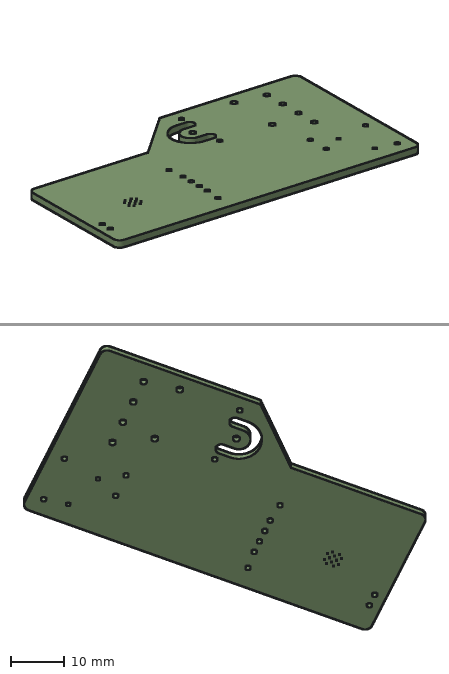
import cadquery as cq

WIDTH = 39.1
LENGTH = 71.1
THICKNESS = 1.6
CORNER_RADIUS = 1.4
NOTCH_WIDTH = 10.9
NOTCH_STRAIGHT = 28.0

MOUNT_HOLE = 1.3
TERMINAL_HOLE = 1.2
PIN_HOLE = 1.0
SMALL_HOLE = 0.8
VIA_HOLE = 0.2

SLOT_X = 8.9
SLOT_ARC_Y = 39.55
SLOT_END_Y = 41.75
SLOT_OUTER_RADIUS = 4.35
SLOT_WIDTH = 2.1
SENSOR_HOLE_Y = 40.05

TERMINAL_PITCH = 5.0
TERMINAL_COUNT = 4
TERMINAL_START = (3.9, 61.15)
LEFT_PAIR_SPACING = 12.0
MOUNT_START = (2.9, 54.2)
SLOT_SIDE_START = (2.8, 41.95)
TOP_PAIR_START = (25.75, 68.05)
TOP_PAIR_SPACING = 2 * TERMINAL_PITCH
MIDDLE_PAIR_START = (24.7, 55.9)
HEADER_PITCH = 2.55
HEADER_COUNT = 4
HEADER_START = (23.4, 26.95)
HEADER_SIDE_START = (19.5, 26.6)
HEADER_SIDE_SPACING = 6 * HEADER_PITCH
BOTTOM_PAIR_START = (31.1, 2.3)
SMALL_POINTS = [(34.9, 63.4), (27.45, 60.45)]
PAIR = 2

VIA_CENTER = (26.75, 12.65)
VIA_STEP = 0.7
VIA_REACH = 2


def row(start, pitch, count):
    """Points of a horizontal row, beginning at start."""
    return [(start[0] + i * pitch, start[1]) for i in range(count)]


def via_points():
    """Checkerboard of vias, alternating rows of two and three."""
    steps = range(-VIA_REACH, VIA_REACH + 1)
    return [
        (VIA_CENTER[0] + i * VIA_STEP, VIA_CENTER[1] + j * VIA_STEP)
        for i in steps
        for j in steps
        if (i + j) % 2 == 1
    ]


def make_board():
    """Plate with a notched lower left side and rounded square corners."""
    outline = [
        (NOTCH_WIDTH, 0),
        (WIDTH, 0),
        (WIDTH, LENGTH),
        (0, LENGTH),
        (0, NOTCH_STRAIGHT + NOTCH_WIDTH),
        (NOTCH_WIDTH, NOTCH_STRAIGHT),
    ]
    board = cq.Workplane("XY").polyline(outline).close().extrude(THICKNESS)
    square_corners = board.edges("|Z and (>Y or <Y)")
    return square_corners.fillet(CORNER_RADIUS)


def make_slot():
    """Cutter for the U-shaped slot: a lower half ring with two straight, round-ended legs."""
    outer = SLOT_OUTER_RADIUS
    inner = outer - SLOT_WIDTH
    end_radius = SLOT_WIDTH / 2
    middle = outer - end_radius
    return (
        cq.Workplane("XY")
        .moveTo(SLOT_X - outer, SLOT_END_Y)
        .lineTo(SLOT_X - outer, SLOT_ARC_Y)
        .threePointArc((SLOT_X, SLOT_ARC_Y - outer), (SLOT_X + outer, SLOT_ARC_Y))
        .lineTo(SLOT_X + outer, SLOT_END_Y)
        .threePointArc((SLOT_X + middle, SLOT_END_Y + end_radius), (SLOT_X + inner, SLOT_END_Y))
        .lineTo(SLOT_X + inner, SLOT_ARC_Y)
        .threePointArc((SLOT_X, SLOT_ARC_Y - inner), (SLOT_X - inner, SLOT_ARC_Y))
        .lineTo(SLOT_X - inner, SLOT_END_Y)
        .threePointArc((SLOT_X - middle, SLOT_END_Y + end_radius), (SLOT_X - outer, SLOT_END_Y))
        .close()
        .extrude(THICKNESS)
    )


def make_holes(points, diameter):
    """Cutters for through holes of one diameter."""
    return cq.Workplane("XY").pushPoints(points).circle(diameter / 2).extrude(THICKNESS)


mount_points = row(MOUNT_START, LEFT_PAIR_SPACING, PAIR) + [(SLOT_X, SENSOR_HOLE_Y)]
terminal_points = row(TERMINAL_START, TERMINAL_PITCH, TERMINAL_COUNT)
pin_points = (
    row(TOP_PAIR_START, TOP_PAIR_SPACING, PAIR)
    + row(MIDDLE_PAIR_START, TERMINAL_PITCH, PAIR)
    + row(SLOT_SIDE_START, LEFT_PAIR_SPACING, PAIR)
    + row(HEADER_START, HEADER_PITCH, HEADER_COUNT)
    + row(HEADER_SIDE_START, HEADER_SIDE_SPACING, PAIR)
    + row(BOTTOM_PAIR_START, HEADER_PITCH, PAIR)
)

result = (
    make_board()
    .cut(make_slot())
    .cut(make_holes(mount_points, MOUNT_HOLE))
    .cut(make_holes(terminal_points, TERMINAL_HOLE))
    .cut(make_holes(pin_points, PIN_HOLE))
    .cut(make_holes(SMALL_POINTS, SMALL_HOLE))
    .cut(make_holes(via_points(), VIA_HOLE))
)